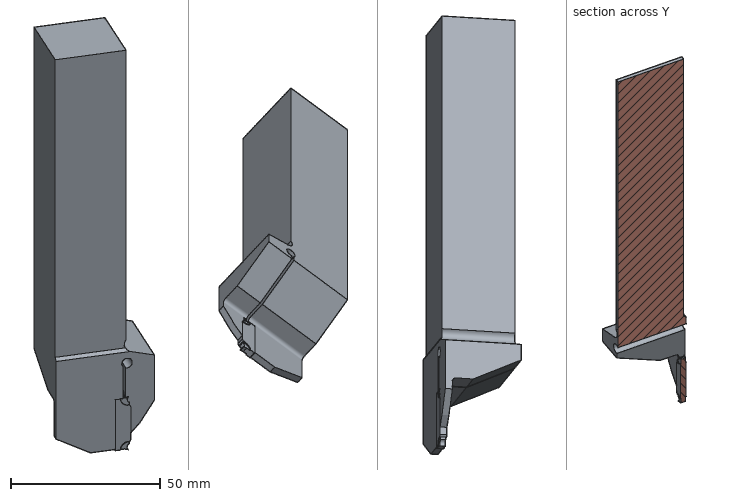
import cadquery as cq


length = 150.0
head_width = 26.1
head_depth = 34.4
shank_width = 25.0
shank_depth = 24.8

blade_thickness = 2.4
blade_left = head_width - blade_thickness
blade_fillet = 1.4
step_top = 38.1
step_height = head_width - shank_width

underside_z = 21.5
underside_flat_start = 16.5
slope_left_z = 29.1

jaw_top_z = 34.5
jaw_root_y = 26.4
jaw_root_z = 36.9
undercut_depth_y = 24.2
undercut_mid_z = 39.0
undercut_top_z = 41.1
jaw_bottom_z = 17.5
jaw_bend_y = 29.2
jaw_bend_z = 9.8
jaw_tip_z = 6.5

blade_bottom_z = 0.9
blade_bottom_y = 12.0
blade_corner_z = 7.8

slot_hole_radius = 1.8
slot_hole_y = 24.8
slot_hole_z = 32.8
slot_y = 23.8
slot_width = 0.9

insert_back_y = 20.7
insert_front_y = 26.1
insert_length = 20.1
insert_mid_z = insert_length / 2
insert_end_z = 0.5
nose_y = 25.4
flank_end_y = 24.0
rake_start_z = 3.9
rake_low_y = 25.6
rake_low_z = 3.2
groove_start_z = 2.2
groove_mid = (24.9, 1.0)
relief_mid = (23.5, 2.5)
relief_end_y = 22.5
relief_depth = 0.3


def extrude_along_x(profile, start_x, end_x):
    """Extrude a closed (Y, Z) profile, drawn on the YZ plane, between two X positions."""
    return profile.extrude(end_x - start_x).translate((start_x, 0, 0))


def side_shape():
    """Silhouette in Y and Z: shank, jaw with its undercut root, and blade."""
    profile = (
        cq.Workplane("YZ")
        .moveTo(0, length)
        .lineTo(shank_depth, length)
        .lineTo(shank_depth, undercut_top_z)
        .threePointArc((undercut_depth_y, undercut_mid_z), (jaw_root_y, jaw_root_z))
        .lineTo(head_depth, jaw_top_z)
        .lineTo(head_depth, jaw_bottom_z)
        .lineTo(jaw_bend_y, jaw_bend_z)
        .lineTo(insert_front_y, jaw_tip_z)
        .lineTo(insert_back_y, jaw_tip_z)
        .lineTo(insert_back_y, blade_bottom_z)
        .lineTo(blade_bottom_y, blade_bottom_z)
        .lineTo(0, blade_corner_z)
        .close()
    )
    return extrude_along_x(profile, 0, head_width)


def front_shape():
    """Silhouette in X and Z: shank, sloped underside, filleted blade root and stepped head."""
    profile = (
        cq.Workplane("XZ")
        .moveTo(0, length)
        .lineTo(0, slope_left_z)
        .lineTo(underside_flat_start, underside_z)
        .lineTo(blade_left - blade_fillet, underside_z)
        .radiusArc((blade_left, underside_z - blade_fillet), blade_fillet)
        .lineTo(blade_left, 0)
        .lineTo(head_width, 0)
        .lineTo(head_width, step_top - step_height)
        .lineTo(shank_width, step_top)
        .lineTo(shank_width, length)
        .close()
    )
    return profile.extrude(-head_depth)


def clamping_slot():
    """Slot from the insert up to the round hole, through the full width."""
    hole = cq.Workplane("YZ").center(slot_hole_y, slot_hole_z).circle(slot_hole_radius)
    slot_height = slot_hole_z - insert_mid_z
    slot = cq.Workplane("YZ").center(slot_y, insert_mid_z + slot_height / 2).rect(slot_width, slot_height)
    return extrude_along_x(hole, 0, head_width).union(extrude_along_x(slot, 0, head_width))


def mirror_end(shape):
    """Copy of a feature at one end of the insert, placed at the other end."""
    return shape.mirror("XY", (0, 0, insert_mid_z))


def insert_half():
    """Lower half of the insert: flank, nose, chip groove and rake step."""
    profile = (
        cq.Workplane("YZ")
        .moveTo(insert_back_y, insert_mid_z)
        .lineTo(insert_back_y, insert_end_z)
        .lineTo(flank_end_y, insert_end_z)
        .lineTo(nose_y, 0)
        .threePointArc(groove_mid, (rake_low_y, groove_start_z))
        .lineTo(rake_low_y, rake_low_z)
        .lineTo(insert_front_y, rake_start_z)
        .lineTo(insert_front_y, insert_mid_z)
        .close()
    )
    return extrude_along_x(profile, blade_left, head_width)


def insert_blank():
    """Insert at full thickness, with the same form at both ends."""
    lower_half = insert_half()
    return lower_half.union(mirror_end(lower_half)).clean()


def side_relief(start_x):
    """Shallow recess beside the lower cutting edge, bounded by an arc."""
    profile = (
        cq.Workplane("YZ")
        .moveTo(rake_low_y, rake_low_z)
        .threePointArc(relief_mid, (relief_end_y, insert_end_z))
        .lineTo(relief_end_y, 0)
        .lineTo(rake_low_y, 0)
        .close()
    )
    return extrude_along_x(profile, start_x, start_x + relief_depth)


def make_holder():
    body = side_shape().intersect(front_shape())
    return body.cut(clamping_slot()).cut(insert_blank()).solids()


def make_insert():
    body = insert_blank()
    for start_x in (blade_left, head_width - relief_depth):
        relief = side_relief(start_x)
        body = body.cut(relief).cut(mirror_end(relief))
    return body.solids()


holder = make_holder()
insert = make_insert()

result = cq.Compound.makeCompound([holder.val(), insert.val()])